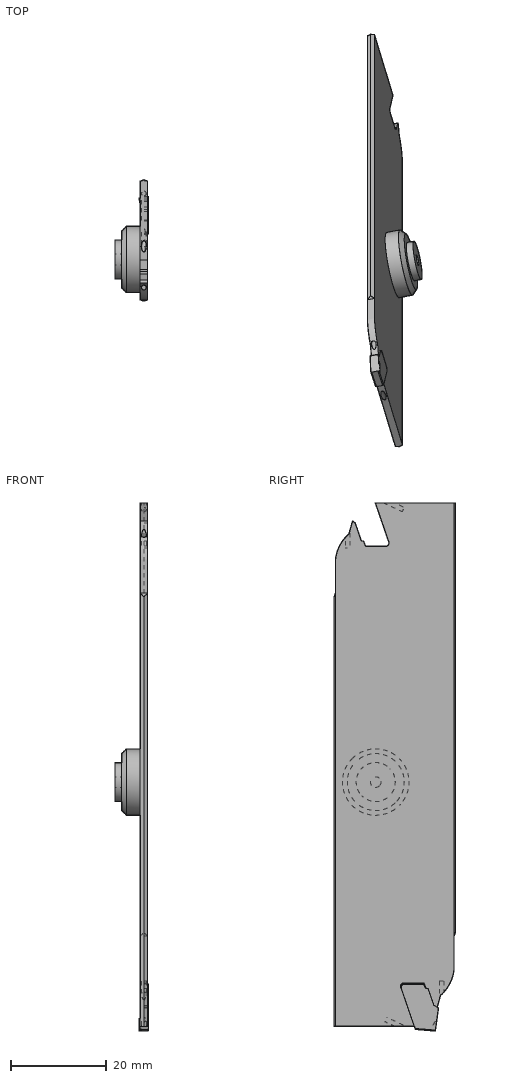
import cadquery as cq
import math


blade_height = 110.0
blade_width = 25.5
blade_thickness = 1.5
ridge_depth = 0.28
half_height = blade_height / 2
half_width = blade_width / 2
half_thickness = blade_thickness / 2

relief_length = 19.8
relief_ramp = 0.8
curve_length = 12.0
nose_y = half_width - ridge_depth
nose_mid_inset = (1.2, 8.9)
nose_end_inset = (3.1, 6.5)
finger_tip_inset = (3.9, 3.8)
finger_tip_bevel = 0.4
seat_angle = 19.0
seat_depth = 9.1
seat_mouth_y = 4.1
seat_corner_radius = 0.7
seat_floor_end_y = 6.1
seat_step_y = 7.0
seat_step_height = 1.1
seat_step_run = 0.4
seat_slope = math.tan(math.radians(seat_angle))

outlet_diameter = 1.0
outlet_depth = 3.3
end_outlet_y = -1.2
end_outlet_tilt = 65.0
nose_outlet_y = -9.9
nose_outlet_z = 48.8

insert_thickness = 2.0
insert_overhang = 0.7
cutting_tip_drop = 0.3
seat_gap = 0.2
insert_end_chamfer = 0.2
cutting_tip_y = 8.5
insert_heel_y = 9.2
insert_heel_height = 3.9
insert_finger_height = 4.4
flare_length = 2.3
flare_width = 1.1

boss_y = -4.0
boss_z = -3.7
boss_height = 5.3
boss_radius = 7.0
boss_chamfer_width = 1.0
boss_chamfer_height = 1.0
pilot_radius = 4.1
pilot_height = 1.4
hole_radius = 1.1
hole_depth = 1.4


def prism(sketch_points, x_start, x_end):
    """Extrude a closed (y, z) outline along X."""
    return (
        cq.Workplane("YZ", origin=(x_start, 0, 0))
        .polyline(sketch_points)
        .close()
        .extrude(x_end - x_start)
    )


def seat_wall_y(depth):
    """Distance of the clamping wall from the centre line, at a depth below the blade end."""
    return seat_mouth_y - depth * seat_slope


def finger_wall_y(depth):
    """Distance of the finger's seat wall from the centre line, at a depth below the blade end."""
    return seat_step_y + (seat_depth - seat_step_height - depth) * seat_slope


def add_half_outline(outline, turn):
    """Add the outline of one blade end: turn is 1 for the upper end, -1 for the lower end."""

    def point(distance, depth):
        """Point at a distance from the centre line towards the nose, at a depth below the end."""
        return (-turn * distance, turn * (half_height - depth))

    finger_bevel_depth = finger_tip_inset[1] + finger_tip_bevel
    step_depth = seat_depth - seat_step_height
    return (
        outline.lineTo(*point(-half_width, 0))
        .lineTo(*point(seat_mouth_y, 0))
        .lineTo(*point(seat_wall_y(seat_depth), seat_depth))
        .lineTo(*point(seat_floor_end_y, seat_depth))
        .lineTo(*point(seat_floor_end_y + seat_step_run, step_depth))
        .lineTo(*point(seat_step_y, step_depth))
        .lineTo(*point(finger_wall_y(finger_bevel_depth), finger_bevel_depth))
        .lineTo(*point(half_width - finger_tip_inset[0], finger_tip_inset[1]))
        .lineTo(*point(half_width - nose_end_inset[0], nose_end_inset[1]))
        .threePointArc(
            point(half_width - nose_mid_inset[0], nose_mid_inset[1]),
            point(nose_y, curve_length),
        )
        .lineTo(*point(nose_y, relief_length - relief_ramp))
        .lineTo(*point(half_width, relief_length))
    )


def blade_outline():
    """Outline in the YZ plane: two identical halves, half a turn apart."""
    outline = cq.Workplane("YZ", origin=(-half_thickness, 0, 0))
    outline = outline.moveTo(half_width, relief_length - half_height)
    for turn in (1, -1):
        outline = add_half_outline(outline, turn)
    return outline.close()


def insert_outline():
    """Outline in the YZ plane, starting at the cutting tip and going up the front edge."""
    blade_end = -half_height
    end = blade_end - insert_overhang
    top_depth = seat_depth - seat_gap
    step_depth = seat_depth - seat_step_height
    return [
        (cutting_tip_y, end - cutting_tip_drop),
        (insert_heel_y, blade_end + insert_heel_height),
        (finger_wall_y(insert_finger_height), blade_end + insert_finger_height),
        (seat_step_y, blade_end + step_depth),
        (seat_floor_end_y + seat_step_run, blade_end + step_depth),
        (seat_floor_end_y, blade_end + top_depth),
        (seat_wall_y(top_depth), blade_end + top_depth),
        (seat_wall_y(-insert_overhang), end),
    ]


def outlet(y, z, tilt):
    """Round drilling sunk outlet_depth below (y, z), with as much length outside the blade."""
    drill = cq.Workplane("XY", origin=(0, 0, -outlet_depth))
    drill = drill.circle(outlet_diameter / 2).extrude(2 * outlet_depth)
    return drill.rotate((0, 0, 0), (1, 0, 0), tilt).translate((0, y, z))


def round_seat_corner(body, y, z, radius):
    """Round the edge along X that passes through (y, z)."""
    corner = cq.selectors.NearestToPointSelector((0, y, z))
    return body.edges("|X").edges(corner).fillet(radius)


def make_blade():
    section = [
        (-half_thickness, nose_y),
        (0, half_width),
        (half_thickness, nose_y),
        (half_thickness, -nose_y),
        (0, -half_width),
        (-half_thickness, -nose_y),
    ]
    bar = (
        cq.Workplane("XY", origin=(0, 0, -half_height))
        .polyline(section)
        .close()
        .extrude(blade_height)
    )
    blade = bar.intersect(blade_outline().extrude(blade_thickness))
    for turn in (1, -1):
        corner_y = -turn * seat_wall_y(seat_depth)
        corner_z = turn * (half_height - seat_depth)
        blade = round_seat_corner(blade, corner_y, corner_z, seat_corner_radius)
    for half_turn in (0, 180):
        for drilling in (
            outlet(end_outlet_y, half_height, end_outlet_tilt),
            outlet(nose_outlet_y, nose_outlet_z, 0),
        ):
            blade = blade.cut(drilling.rotate((0, 0, 0), (1, 0, 0), half_turn))
    return blade.cut(make_insert_body(-half_thickness))


def make_boss():
    top = boss_height
    shoulder = boss_height - pilot_height
    profile = [
        (hole_radius, top),
        (pilot_radius, top),
        (pilot_radius, shoulder),
        (boss_radius - boss_chamfer_width, shoulder),
        (boss_radius, shoulder - boss_chamfer_height),
        (boss_radius, 0),
        (0, 0),
        (0, top - hole_depth),
        (hole_radius, top - hole_depth),
    ]
    return (
        cq.Workplane("XY")
        .polyline(profile)
        .close()
        .revolve(360, (0, 0, 0), (0, 1, 0))
        .rotate((0, 0, 0), (0, 0, 1), 90)
        .translate((-half_thickness, boss_y, boss_z))
    )


def make_insert_body(x_start):
    """Insert from x_start to its +X face, without the flare."""
    body = prism(insert_outline(), x_start, insert_thickness / 2)
    top_depth = seat_depth - seat_gap
    return round_seat_corner(
        body, seat_wall_y(top_depth), top_depth - half_height, seat_corner_radius
    )


def make_flare():
    """Wedge on the -X face that widens the insert towards its cutting tip."""
    end = -half_height - insert_overhang
    front_height = insert_heel_height + insert_overhang + cutting_tip_drop
    slope = (insert_heel_y - cutting_tip_y) / front_height
    front_top_y = cutting_tip_y + (flare_length + cutting_tip_drop) * slope
    triangle = [
        (cutting_tip_y, end - cutting_tip_drop),
        (front_top_y, end + flare_length),
        (cutting_tip_y - flare_width, end),
    ]
    inner_x = insert_end_chamfer - half_thickness
    outer_x = -insert_thickness / 2
    wedge = (
        cq.Workplane("XY", origin=(0, 0, end - cutting_tip_drop))
        .moveTo(-half_thickness, cutting_tip_y - flare_width)
        .lineTo(outer_x, cutting_tip_y)
        .lineTo(outer_x, front_top_y)
        .lineTo(inner_x, front_top_y)
        .lineTo(inner_x, cutting_tip_y - flare_width)
        .close()
        .extrude(flare_length + cutting_tip_drop)
    )
    return wedge.intersect(prism(triangle, outer_x, inner_x))


def make_insert():
    insert = make_insert_body(-half_thickness)
    end_face = insert.faces(cq.selectors.NearestToPointSelector((0, 0, -blade_height)))
    insert = end_face.edges("#X").chamfer(insert_end_chamfer)
    return insert.union(make_flare())


holder = make_blade().union(make_boss())
insert = make_insert()
result = cq.Compound.makeCompound([holder.solids().val(), insert.solids().val()])